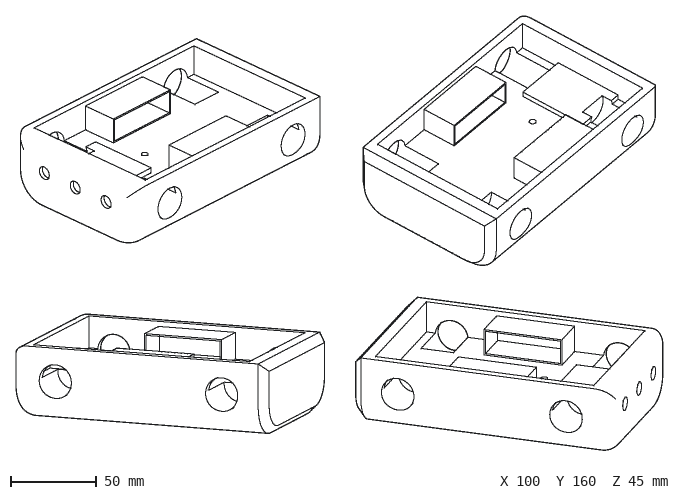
import cadquery as cq

LENGTH = 160.0
WIDTH = 100.0
HEIGHT = 45.0
SIDE_RADIUS = 20.0
FRONT_RADIUS = 10.0
BACK_CHAMFER = 5.0

SIDE_WALL = 5.0
END_WALL = 12.3
FLOOR_Z = 26.0
tray_width = WIDTH - 2 * SIDE_WALL
tray_length = LENGTH - 2 * END_WALL

PAD_LEFT = -26.7
PAD_RIGHT = 18.2
PAD_LENGTH = 33.0
PAD_HEIGHT = 3.4

BORE_DIAMETER = 20.2
BORE_Y = 52.2
BORE_Z = 25.0
BORE_INNER_X = 19.8

FRONT_HOLE_DIAMETER = 8.0
FRONT_HOLE_SPACING = 25.0
FRONT_HOLE_Z = 27.4
FRONT_HOLE_DEPTH = 2.5
FLOOR_HOLE_DIAMETER = 4.0
FLOOR_HOLE_Y = -21.1
FLOOR_HOLE_DEPTH = 5.0

BOX_DEPTH = 22.5
BOX_LENGTH = 48.3
BOX_HEIGHT = 16.0
BOX_WALL = 1.0


def make_shell():
    """Solid outer form with rounded bottom, rounded front and chamfered back."""
    block = cq.Workplane("XY").box(WIDTH, LENGTH, HEIGHT, centered=(True, True, False))
    block = block.edges("|Y and <Z").fillet(SIDE_RADIUS)
    block = block.faces(">Y").edges().chamfer(BACK_CHAMFER)
    return block.faces("<Y").edges().fillet(FRONT_RADIUS)


def make_tray():
    """Volume removed from the top of the housing, leaving the raised pad."""
    tray = (
        cq.Workplane("XY", origin=(0, 0, FLOOR_Z))
        .box(tray_width, tray_length, HEIGHT - FLOOR_Z, centered=(True, True, False))
    )
    pad = (
        cq.Workplane("XY", origin=(PAD_LEFT, -tray_length / 2, FLOOR_Z))
        .box(PAD_RIGHT - PAD_LEFT, PAD_LENGTH, PAD_HEIGHT, centered=False)
    )
    return tray.cut(pad)


def make_bores():
    """Four blind bores along X, two from each side."""
    bore_length = WIDTH / 2 - BORE_INNER_X
    bores = cq.Workplane("YZ")
    for start_x in (-WIDTH / 2, BORE_INNER_X):
        bores = bores.add(
            cq.Workplane("YZ", origin=(start_x, 0, BORE_Z))
            .pushPoints([(-BORE_Y, 0), (BORE_Y, 0)])
            .circle(BORE_DIAMETER / 2)
            .extrude(bore_length)
        )
    return bores.combine()


def make_front_holes():
    """Row of three shallow holes in the front face."""
    return (
        cq.Workplane("XZ", origin=(0, -LENGTH / 2, FRONT_HOLE_Z))
        .rarray(FRONT_HOLE_SPACING, 1.6, 3, 1)
        .circle(FRONT_HOLE_DIAMETER / 2)
        .extrude(-FRONT_HOLE_DEPTH)
    )


def make_floor_hole():
    """Small blind hole in the tray floor."""
    return (
        cq.Workplane("XY", origin=(0, FLOOR_HOLE_Y, FLOOR_Z))
        .circle(FLOOR_HOLE_DIAMETER / 2)
        .extrude(-FLOOR_HOLE_DEPTH)
    )


def make_housing():
    housing = make_shell()
    for cutter in (make_tray(), make_bores(), make_front_holes(), make_floor_hole()):
        housing = housing.cut(cutter)
    return housing


def make_box(side):
    """Box against the +X wall (side = 1) or the -X wall (side = -1)."""
    center_x = side * (tray_width - BOX_DEPTH) / 2
    open_face = "<X" if side > 0 else ">X"
    return (
        cq.Workplane("XY", origin=(center_x, 0, FLOOR_Z))
        .box(BOX_DEPTH, BOX_LENGTH, BOX_HEIGHT, centered=(True, True, False))
        .faces(open_face)
        .shell(-BOX_WALL)
    )


housing = make_housing()
boxes = [make_box(side).val() for side in (-1, 1)]

result = cq.Compound.makeCompound([housing.val(), *boxes])